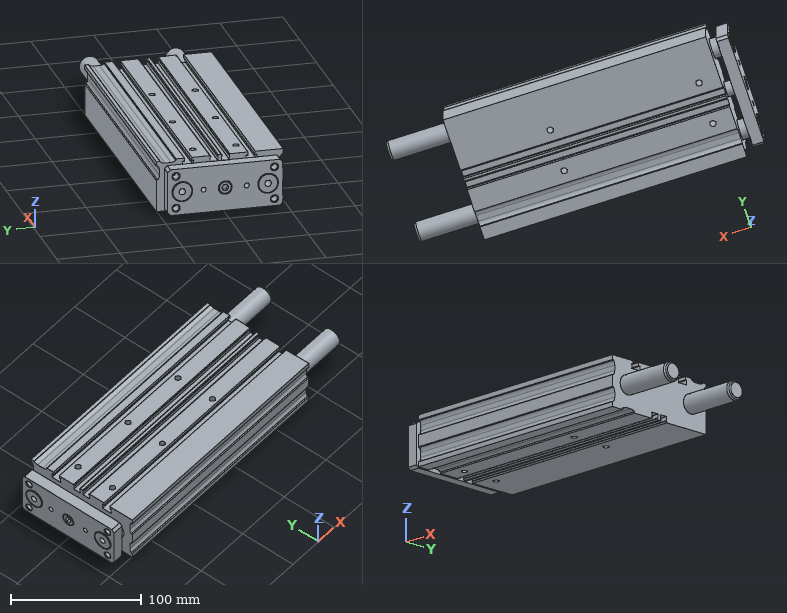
import cadquery as cq


OVERALL_LENGTH = 278.0

HOUSING_START = 16.0
HOUSING_LENGTH = 212.0
HOUSING_WIDTH = 101.0
HOUSING_HEIGHT = 42.0
HALF_WIDTH = HOUSING_WIDTH / 2
HALF_HEIGHT = HOUSING_HEIGHT / 2

GROOVE_DEPTH = 2.5
GROOVE_LIP_DEPTH = 1.0
GROOVE_LIP_WIDTH = 0.3
SIDE_GROOVE_OFFSET = 10.8
SIDE_GROOVE_WIDTH = 12.0
SIDE_GROOVE_FLOOR = 4.2
FLAT_GROOVE_WIDTH = 12.8
FLAT_GROOVE_FLOOR = 5.0
TOP_GROOVE_Y = 41.1
BOTTOM_GROOVE_Y = -33.0
EDGE_STEP_DEPTH = 0.8

TEE_SLOT_SPACING = 50.3
TEE_SLOT_OFFSET = TEE_SLOT_SPACING / 2
TEE_SLOT_WIDTH = 5.8
TEE_SLOT_INNER_WIDTH = 8.5
TEE_SLOT_LIP = 2.8
TEE_SLOT_DEPTH = 6.7

SENSOR_SLOT_SPACING = 9.2
SENSOR_SLOT_OFFSET = SENSOR_SLOT_SPACING / 2
SENSOR_SLOT_THROAT = 5.0
SENSOR_SLOT_WIDTH = 6.5
TOP_SENSOR_SLOT_CHAMFER = 0.8
BOTTOM_SENSOR_SLOT_CHAMFER = 1.0
SENSOR_SLOT_DEPTH = 5.0

HOLE_SPACING = 34.2
HOLE_OFFSET = HOLE_SPACING / 2
HOLE_CENTRE_X = 92.5
HOLE_PITCH_X = 120.0
MOUNTING_HOLE_DIAMETER = 4.7
DOWEL_HOLE_DIAMETER = 4.5
DOWEL_HOLE_DEPTH = 8.3

PLATE_THICKNESS = 9.5
PLATE_WIDTH = 91.5
PLATE_HEIGHT = 37.8
PLATE_CORNER = 2.2
PLATE_HOLE_SPACING_Y = 78.0
PLATE_HOLE_SPACING_Z = 26.0
PLATE_HOLE_DIAMETER = 5.0
PLATE_HOLE_CHAMFER = 0.7
PLATE_DOWEL_DIAMETER = 4.0

GUIDE_SPACING = 68.0
GUIDE_OFFSET = GUIDE_SPACING / 2
GUIDE_DIAMETER = 16.0
GUIDE_FRONT_CHAMFER = 0.5
GUIDE_TAPER_LENGTH = 1.7
GUIDE_TAPER_DROP = 0.8
GUIDE_TIP_LENGTH = 0.8
GUIDE_TIP_DROP = 1.0
GUIDE_HOLE_DIAMETER = 5.0
GUIDE_HOLE_DEPTH = 11.0
GUIDE_HOLE_TIP = 1.5

PISTON_ROD_DIAMETER = 12.2
PISTON_ROD_END = 194.5

SCREW_HEAD_DIAMETER = 9.5
SCREW_HEAD_HEIGHT = 6.0
SCREW_POCKET_DIAMETER = 10.8
SCREW_SHANK_DIAMETER = 6.0
SCREW_LENGTH = 22.2
SCREW_SOCKET_FLATS = 4.7
SCREW_SOCKET_DEPTH = 3.0


def cross_plane(x, y=0.0):
    """Plane facing +X whose local x axis points up."""
    return cq.Workplane(cq.Plane(origin=(x, y, 0), xDir=(0, 0, 1), normal=(1, 0, 0)))


def x_cylinder(diameter, start, end, y=0.0):
    """Cylinder along X between two X positions."""
    return cross_plane(start, y).circle(diameter / 2).extrude(end - start)


def slot_plane(y, z, along):
    """Plane across the housing start, local x along a face and local y into the housing."""
    return cq.Workplane(cq.Plane(origin=(HOUSING_START, y, z), xDir=along, normal=(1, 0, 0)))


def top_plane(y):
    return slot_plane(y, HALF_HEIGHT, (0, -1, 0))


def bottom_plane(y):
    return slot_plane(y, -HALF_HEIGHT, (0, 1, 0))


def groove(plane, width, floor):
    """Shallow groove: flat floor, tangent concave flanks and a short steep lip."""
    half_mouth = width / 2
    flank_end = (half_mouth - GROOVE_LIP_WIDTH, GROOVE_LIP_DEPTH)
    half_outline = (
        plane.moveTo(0, GROOVE_DEPTH)
        .lineTo(floor / 2, GROOVE_DEPTH)
        .tangentArcPoint(flank_end, relative=False)
        .lineTo(half_mouth, 0)
        .lineTo(0, 0)
    )
    return half_outline.mirrorY().extrude(HOUSING_LENGTH)


def tee_slot(plane):
    mouth = TEE_SLOT_WIDTH / 2
    inner = TEE_SLOT_INNER_WIDTH / 2
    half_outline = (
        plane.moveTo(0, 0)
        .lineTo(mouth, 0)
        .lineTo(mouth, TEE_SLOT_LIP)
        .lineTo(inner, TEE_SLOT_LIP)
        .lineTo(inner, TEE_SLOT_DEPTH)
        .lineTo(0, TEE_SLOT_DEPTH)
    )
    return half_outline.mirrorY().extrude(HOUSING_LENGTH)


def sensor_slot(plane, chamfer):
    """Slot whose mouth narrows to a throat and widens again below it."""
    throat = SENSOR_SLOT_THROAT / 2
    inner = SENSOR_SLOT_WIDTH / 2
    half_outline = (
        plane.moveTo(0, 0)
        .lineTo(throat + chamfer, 0)
        .lineTo(throat, chamfer)
        .lineTo(inner, chamfer + inner - throat)
        .lineTo(inner, SENSOR_SLOT_DEPTH)
        .lineTo(0, SENSOR_SLOT_DEPTH)
    )
    return half_outline.mirrorY().extrude(HOUSING_LENGTH)


def edge_step():
    """Strip taken off the top between the top groove and the +Y side."""
    return cq.Workplane("XY").box(
        HOUSING_LENGTH, HALF_WIDTH - TOP_GROOVE_Y, EDGE_STEP_DEPTH, centered=False
    ).translate((HOUSING_START, TOP_GROOVE_Y, HALF_HEIGHT - EDGE_STEP_DEPTH))


def top_holes(x_positions, diameter, depth):
    points = [(x, side * HOLE_OFFSET) for x in x_positions for side in (-1, 1)]
    return (
        cq.Workplane("XY", origin=(0, 0, HALF_HEIGHT))
        .pushPoints(points)
        .circle(diameter / 2)
        .extrude(-depth)
    )


def make_housing():
    body = cq.Workplane("XY").box(
        HOUSING_LENGTH, HOUSING_WIDTH, HOUSING_HEIGHT, centered=(False, True, True)
    ).translate((HOUSING_START, 0, 0))

    upper_plus_y = slot_plane(HALF_WIDTH, SIDE_GROOVE_OFFSET, (0, 0, 1))
    upper_minus_y = slot_plane(-HALF_WIDTH, SIDE_GROOVE_OFFSET, (0, 0, -1))
    lower_minus_y = slot_plane(-HALF_WIDTH, -SIDE_GROOVE_OFFSET, (0, 0, -1))
    for plane in (upper_plus_y, upper_minus_y, lower_minus_y):
        body = body.cut(groove(plane, SIDE_GROOVE_WIDTH, SIDE_GROOVE_FLOOR))

    body = body.cut(edge_step())
    for plane in (top_plane(TOP_GROOVE_Y), bottom_plane(BOTTOM_GROOVE_Y)):
        body = body.cut(groove(plane, FLAT_GROOVE_WIDTH, FLAT_GROOVE_FLOOR))

    for side in (-1, 1):
        body = body.cut(tee_slot(top_plane(side * TEE_SLOT_OFFSET)))
        sensor_y = side * SENSOR_SLOT_OFFSET
        body = body.cut(sensor_slot(top_plane(sensor_y), TOP_SENSOR_SLOT_CHAMFER))
        body = body.cut(sensor_slot(bottom_plane(sensor_y), BOTTOM_SENSOR_SLOT_CHAMFER))

    mounting_x = [HOLE_CENTRE_X - HOLE_PITCH_X / 2, HOLE_CENTRE_X + HOLE_PITCH_X / 2]
    body = body.cut(top_holes(mounting_x, MOUNTING_HOLE_DIAMETER, HOUSING_HEIGHT))
    body = body.cut(top_holes([HOLE_CENTRE_X], DOWEL_HOLE_DIAMETER, DOWEL_HOLE_DEPTH))

    housing_end = HOUSING_START + HOUSING_LENGTH
    for side in (-1, 1):
        body = body.cut(x_cylinder(GUIDE_DIAMETER, HOUSING_START, housing_end, side * GUIDE_OFFSET))
    return body.cut(x_cylinder(PISTON_ROD_DIAMETER, HOUSING_START, PISTON_ROD_END))


def plate_corner_hole(y, z):
    """Through hole with a chamfered mouth on the outer face."""
    hole_radius = PLATE_HOLE_DIAMETER / 2
    mouth_radius = hole_radius + PLATE_HOLE_CHAMFER
    bore = cq.Solid.makeCylinder(hole_radius, PLATE_THICKNESS, cq.Vector(0, y, z), cq.Vector(1, 0, 0))
    mouth = cq.Solid.makeCone(
        mouth_radius, hole_radius, PLATE_HOLE_CHAMFER, cq.Vector(0, y, z), cq.Vector(1, 0, 0)
    )
    return cq.Workplane(bore).union(cq.Workplane(mouth))


def make_plate():
    plate = cq.Workplane("XY").box(
        PLATE_THICKNESS, PLATE_WIDTH, PLATE_HEIGHT, centered=(False, True, True)
    )
    plate = plate.edges("|X").chamfer(PLATE_CORNER)
    for side_y in (-1, 1):
        for side_z in (-1, 1):
            y = side_y * PLATE_HOLE_SPACING_Y / 2
            z = side_z * PLATE_HOLE_SPACING_Z / 2
            plate = plate.cut(plate_corner_hole(y, z))
        plate = plate.cut(
            x_cylinder(PLATE_DOWEL_DIAMETER, 0, PLATE_THICKNESS, side_y * HOLE_OFFSET)
        )
        plate = plate.cut(x_cylinder(GUIDE_DIAMETER, 0, PLATE_THICKNESS, side_y * GUIDE_OFFSET))
    plate = plate.cut(x_cylinder(SCREW_POCKET_DIAMETER, 0, SCREW_HEAD_HEIGHT))
    return plate.cut(x_cylinder(SCREW_SHANK_DIAMETER, 0, PLATE_THICKNESS))


def make_guide_rod(y):
    """Rod with a two-step tapered far end and a cone-tipped centre hole at the plate end."""
    radius = GUIDE_DIAMETER / 2
    hole_radius = GUIDE_HOLE_DIAMETER / 2
    tip_start = OVERALL_LENGTH - GUIDE_TIP_LENGTH
    half_section = (
        cq.Workplane("XZ")
        .moveTo(0, hole_radius)
        .lineTo(0, radius - GUIDE_FRONT_CHAMFER)
        .lineTo(GUIDE_FRONT_CHAMFER, radius)
        .lineTo(tip_start - GUIDE_TAPER_LENGTH, radius)
        .lineTo(tip_start, radius - GUIDE_TAPER_DROP)
        .lineTo(OVERALL_LENGTH, radius - GUIDE_TAPER_DROP - GUIDE_TIP_DROP)
        .lineTo(OVERALL_LENGTH, 0)
        .lineTo(GUIDE_HOLE_DEPTH + GUIDE_HOLE_TIP, 0)
        .lineTo(GUIDE_HOLE_DEPTH, hole_radius)
        .close()
    )
    return half_section.revolve(360, (0, 0, 0), (1, 0, 0)).translate((0, y, 0))


def make_piston_rod():
    rod = x_cylinder(PISTON_ROD_DIAMETER, PLATE_THICKNESS, PISTON_ROD_END)
    return rod.cut(x_cylinder(SCREW_SHANK_DIAMETER, PLATE_THICKNESS, SCREW_LENGTH))


def make_screw():
    """Socket head screw, its head flush with the outer face of the plate."""
    head = x_cylinder(SCREW_HEAD_DIAMETER, 0, SCREW_HEAD_HEIGHT)
    shank = x_cylinder(SCREW_SHANK_DIAMETER, SCREW_HEAD_HEIGHT, SCREW_LENGTH)
    socket = (
        cross_plane(0)
        .polygon(6, SCREW_SOCKET_FLATS, circumscribed=True)
        .extrude(SCREW_SOCKET_DEPTH)
    )
    return head.union(shank).cut(socket)


housing = make_housing()
plate = make_plate()
guide_rods = [make_guide_rod(side * GUIDE_OFFSET) for side in (-1, 1)]
piston_rod = make_piston_rod()
screw = make_screw()

result = cq.Compound.makeCompound(
    [housing.val(), plate.val(), *[rod.val() for rod in guide_rods], piston_rod.val(), screw.val()]
)